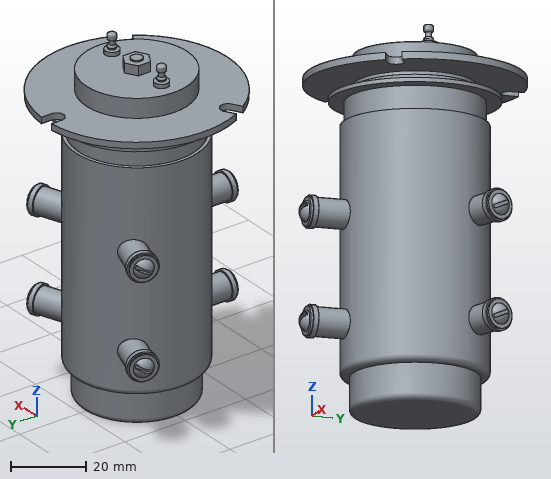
import cadquery as cq
import math

base_radius = 17.5
body_diameter = 40.0
body_radius = body_diameter / 2
neck_radius = 19.0
ring_radius = 23.1
cap_radius = 16.6
bottom_round = 1.6

body_bottom = 10.0
body_top = 79.0
ring_bottom = 85.6
ring_top = 86.7
cone_top = 89.2
cap_top = 98.2

flange_diameter = 59.9
flange_radius = flange_diameter / 2
flange_bottom = 90.2
flange_thickness = 2.0
slot_width = 4.5
slot_centre_radius = 26.5
slot_angles = (90, 210, 330)

nut_across_flats = 7.0
nut_height = 3.0
stud_radius = 1.8
stud_top = 101.6

pin_spacing = 22.2
pin_top = 104.2
pin_collar_radius = 2.2
pin_collar_height = 1.3
pin_bead_radius = 1.4
pin_bead_height = 1.5
pin_shank_radius = 0.8
pin_head_radius = 1.4
pin_head_height = 2.1
pin_head_round = 0.6

post_levels = (23.2, 53.3)
post_diameter = 8.0
post_collar_radius = 4.5
post_collar_length = 1.5
post_land_length = 0.6
dome_height = 1.9
dome_radius = 2.9
screw_slot_width = 1.0
screw_slot_depth = 1.5

front_post_reach = 32.5
front_slot_tilt = 38
side_post_reach = 30.1
side_post_direction = 160
side_post_offset = 6.4
side_slot_tilt = -24


def disc(radius, bottom, top):
    """Cylinder on the Z axis between two heights."""
    return cq.Workplane("XY").workplane(offset=bottom).circle(radius).extrude(top - bottom)


def make_body():
    base = disc(base_radius, 0, body_bottom).faces("<Z").edges().fillet(bottom_round)
    barrel = disc(body_radius, body_bottom, body_top).faces("<Z").edges().fillet(bottom_round)
    neck = disc(neck_radius, body_top, ring_bottom)
    ring = disc(ring_radius, ring_bottom, ring_top)
    cone = (
        cq.Workplane("XZ")
        .moveTo(0, ring_top)
        .lineTo(neck_radius, ring_top)
        .lineTo(cap_radius, cone_top)
        .lineTo(0, cone_top)
        .close()
        .revolve(360, (0, 0, 0), (0, 1, 0))
    )
    cap = disc(cap_radius, cone_top, cap_top)
    return base.union(barrel).union(neck).union(ring).union(cone).union(cap)


def make_flange():
    flange_top = flange_bottom + flange_thickness
    flange = disc(flange_radius, flange_bottom, flange_top)
    slot_length = 2 * (flange_radius - slot_centre_radius) + slot_width
    slot = (
        cq.Workplane("XY")
        .workplane(offset=flange_bottom)
        .center(slot_centre_radius + (slot_length - slot_width) / 2, 0)
        .slot2D(slot_length, slot_width)
        .extrude(flange_thickness)
    )
    for angle in slot_angles:
        flange = flange.cut(slot.rotate((0, 0, 0), (0, 0, 1), angle))
    return flange


def make_nut():
    across_corners = nut_across_flats / math.cos(math.radians(30))
    nut = (
        cq.Workplane("XY")
        .workplane(offset=cap_top)
        .polygon(6, across_corners)
        .extrude(nut_height)
        .rotate((0, 0, 0), (0, 0, 1), 30)
    )
    return nut.union(disc(stud_radius, cap_top, stud_top))


def make_pin():
    collar_top = cap_top + pin_collar_height
    bead_top = collar_top + pin_bead_height
    head_bottom = pin_top - pin_head_height
    collar = disc(pin_collar_radius, cap_top, collar_top)
    bead_round = pin_bead_height / 2
    bead_middle = collar_top + bead_round
    bead_core_radius = pin_bead_radius - bead_round
    bead = (
        cq.Workplane("XZ")
        .moveTo(0, collar_top)
        .lineTo(bead_core_radius, collar_top)
        .radiusArc((pin_bead_radius, bead_middle), -bead_round)
        .radiusArc((bead_core_radius, bead_top), -bead_round)
        .lineTo(0, bead_top)
        .close()
        .revolve(360, (0, 0, 0), (0, 1, 0))
    )
    shank = disc(pin_shank_radius, collar_top, pin_top - pin_head_height / 2)
    head = disc(pin_head_radius, head_bottom, pin_top).edges().fillet(pin_head_round)
    return collar.union(bead).union(shank).union(head)


def make_post(reach, slot_tilt):
    """Post along -Y from the Z axis, ending in a slotted domed screw at the given reach."""
    face = reach - dome_height
    collar_end = face - post_land_length
    post = disc(post_diameter / 2, 0, face)
    collar = disc(post_collar_radius, collar_end - post_collar_length, collar_end)

    sphere_radius = (dome_radius**2 + dome_height**2) / (2 * dome_height)
    sphere = cq.Workplane("XY").sphere(sphere_radius).translate((0, 0, reach - sphere_radius))
    dome = sphere.intersect(disc(sphere_radius, face, reach))

    screw_slot = (
        cq.Workplane("XY")
        .workplane(offset=reach - screw_slot_depth)
        .rect(2 * dome_radius, screw_slot_width)
        .extrude(screw_slot_depth)
        .rotate((0, 0, 0), (0, 0, 1), slot_tilt)
    )
    upright = post.union(collar).union(dome).cut(screw_slot)
    return upright.rotate((0, 0, 0), (1, 0, 0), 90)


result = make_body().union(make_flange()).union(make_nut())

for side in (-1, 1):
    result = result.union(make_pin().translate((side * pin_spacing / 2, 0, 0)))

front_post = make_post(front_post_reach, front_slot_tilt)
left_post = (
    make_post(side_post_reach, side_slot_tilt)
    .translate((-side_post_offset, 0, 0))
    .rotate((0, 0, 0), (0, 0, 1), side_post_direction - 270)
)
right_post = left_post.mirror("YZ")

for level in post_levels:
    for post in (front_post, left_post, right_post):
        result = result.union(post.translate((0, 0, level)))